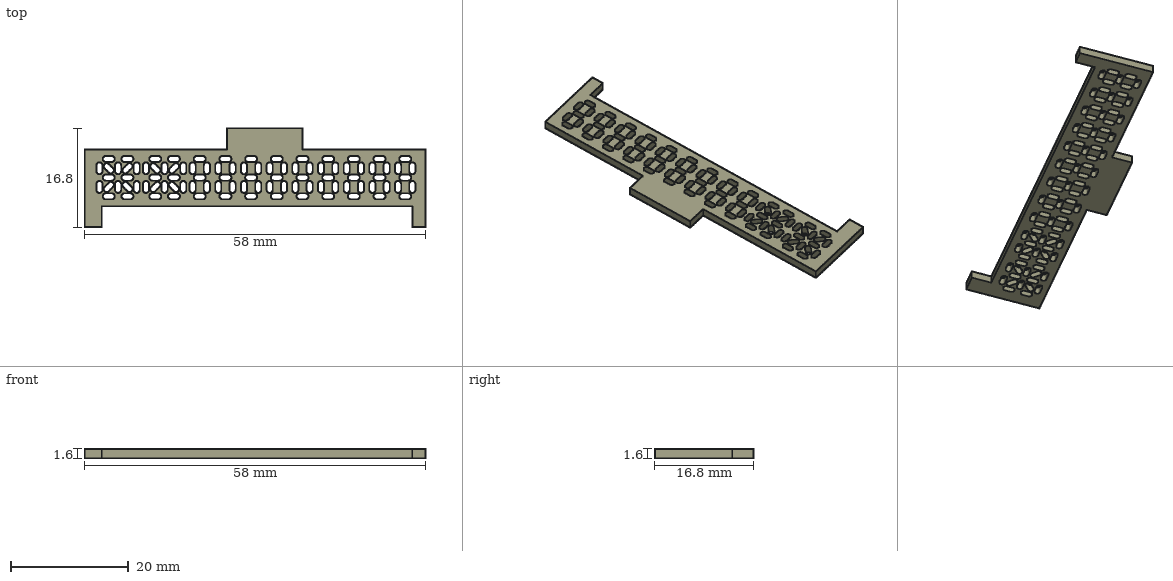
import cadquery as cq


total_length = 57.95
total_depth = 16.8
thickness = 1.6
tab_depth = 3.6
leg_depth = 3.5
band_depth = total_depth - tab_depth - leg_depth
left_leg_width = 2.9
right_leg_width = 2.25
tab_length = 12.9
tab_offset = 24.15

left = -total_length / 2
right = total_length / 2
bottom = -total_depth / 2
band_bottom = bottom + leg_depth
band_top = band_bottom + band_depth
tab_left = left + tab_offset

slot_length = 2.0
slot_width = 1.0
diagonal_angle = 45
row_spacing = 3.17
row_offset = row_spacing / 2

digit_count = 9
digit_pitch = 4.365
first_digit_x = -9.42
digit_column_spacing = 2.425

starburst_count = 2
starburst_pitch = 7.905
first_starburst_x = -23.3
starburst_column_spacing = row_spacing


def make_plate():
    """Long band with a tab on its rear edge and a leg at each end of its front edge."""
    band = cq.Workplane("XY").box(total_length, band_depth, thickness, centered=False)
    tab = cq.Workplane("XY").box(tab_length, tab_depth, thickness, centered=False)
    left_leg = cq.Workplane("XY").box(left_leg_width, leg_depth, thickness, centered=False)
    right_leg = cq.Workplane("XY").box(right_leg_width, leg_depth, thickness, centered=False)
    plate = band.translate((left, band_bottom, 0))
    plate = plate.union(tab.translate((tab_left, band_top, 0)))
    plate = plate.union(left_leg.translate((left, bottom, 0)))
    return plate.union(right_leg.translate((right - right_leg_width, bottom, 0)))


def cut_slots(plate, centres, angle):
    """Pierce the plate with slots whose long axis is turned by the angle from X."""
    slots = cq.Workplane("XY").pushPoints(centres).slot2D(slot_length, slot_width, angle)
    return plate.cut(slots.extrude(thickness))


def cut_digit(plate, x):
    """Seven segments: three horizontal ones and a pair of vertical ones on each side."""
    half_columns = digit_column_spacing / 2
    horizontals = [(x, row * row_spacing) for row in (-1, 0, 1)]
    verticals = [(x + side * half_columns, row * row_offset) for side in (-1, 1) for row in (-1, 1)]
    plate = cut_slots(plate, horizontals, 0)
    return cut_slots(plate, verticals, 90)


def cut_starburst(plate, x):
    """Sixteen segments: two cells wide and two high, with a diagonal in every cell."""
    half_cell = starburst_column_spacing / 2
    horizontals = [(x + side * half_cell, row * row_spacing) for side in (-1, 1) for row in (-1, 0, 1)]
    columns = [x + column * starburst_column_spacing for column in (-1, 0, 1)]
    verticals = [(column_x, row * row_offset) for column_x in columns for row in (-1, 1)]
    rising = [(x + side * half_cell, side * row_offset) for side in (-1, 1)]
    falling = [(x + side * half_cell, -side * row_offset) for side in (-1, 1)]
    plate = cut_slots(plate, horizontals, 0)
    plate = cut_slots(plate, verticals, 90)
    plate = cut_slots(plate, rising, diagonal_angle)
    return cut_slots(plate, falling, -diagonal_angle)


result = make_plate()
for index in range(starburst_count):
    result = cut_starburst(result, first_starburst_x + index * starburst_pitch)
for index in range(digit_count):
    result = cut_digit(result, first_digit_x + index * digit_pitch)